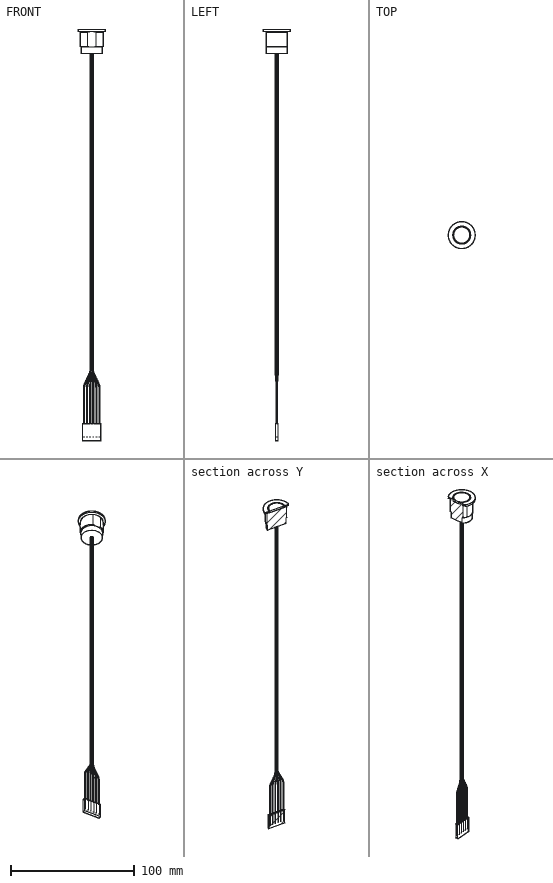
import cadquery as cq
import math

TOTAL_HEIGHT = 334.0

FLANGE_DIAMETER = 22.0
FLANGE_THICKNESS = 1.7
BARREL_DIAMETER = 17.5
HOUSING_HEIGHT = 19.7
HOUSING_BOTTOM = TOTAL_HEIGHT - HOUSING_HEIGHT

COLLAR_DIAMETER = 18.7
COLLAR_LENGTH = 12.7
COLLAR_TAPER = 0.7
COLLAR_TOP = TOTAL_HEIGHT - FLANGE_THICKNESS
COLLAR_BOTTOM = COLLAR_TOP - COLLAR_LENGTH
FLAT_SPACING = BARREL_DIAMETER

BUTTON_DIAMETER = 13.0
RING_DIAMETER = 14.7
BUTTON_DEPTH = FLANGE_THICKNESS
BUTTON_BOTTOM = TOTAL_HEIGHT - BUTTON_DEPTH

CONNECTOR_WIDTH = 15.0
CONNECTOR_DEPTH = 2.5
CONNECTOR_HEIGHT = 14.0

WIRE_DIAMETER = 1.0
WIRE_COUNT = 6
WIRE_PITCH = 2.55
BUNDLE_RADIUS = 0.97
FAN_TOP = 56.5
FAN_BOTTOM = 44.5
BEND_LENGTH = 2.0
INSERTION_DEPTH = 11.0


def cylinder(diameter, bottom, top):
    """Upright cylinder on the Z axis between two heights."""
    return cq.Workplane("XY").workplane(offset=bottom).circle(diameter / 2).extrude(top - bottom)


def make_collar():
    """Collar with tapered ends and a flat on its -Y and +Y sides."""
    inner = BARREL_DIAMETER / 2
    outer = COLLAR_DIAMETER / 2
    collar = (
        cq.Workplane("XZ")
        .moveTo(0, COLLAR_TOP)
        .lineTo(inner, COLLAR_TOP)
        .lineTo(outer, COLLAR_TOP - COLLAR_TAPER)
        .lineTo(outer, COLLAR_BOTTOM + COLLAR_TAPER)
        .lineTo(inner, COLLAR_BOTTOM)
        .lineTo(0, COLLAR_BOTTOM)
        .close()
        .revolve(360, (0, 0, 0), (0, 1, 0))
    )
    between_flats = (
        cq.Workplane("XY", origin=(0, 0, COLLAR_BOTTOM))
        .rect(COLLAR_DIAMETER, FLAT_SPACING)
        .extrude(COLLAR_LENGTH)
    )
    return collar.intersect(between_flats)


def make_housing():
    """Flanged barrel with a collar and a shallow round recess in its top face."""
    flange = cylinder(FLANGE_DIAMETER, COLLAR_TOP, TOTAL_HEIGHT)
    barrel = cylinder(BARREL_DIAMETER, HOUSING_BOTTOM, TOTAL_HEIGHT)
    recess = cylinder(RING_DIAMETER, BUTTON_BOTTOM, TOTAL_HEIGHT)
    return barrel.union(flange).union(make_collar()).cut(recess)


def make_button():
    """Round button in the middle of the recess."""
    return cylinder(BUTTON_DIAMETER, BUTTON_BOTTOM, TOTAL_HEIGHT)


def make_ring():
    """Ring that fills the recess around the button."""
    return cylinder(RING_DIAMETER, BUTTON_BOTTOM, TOTAL_HEIGHT).cut(make_button())


def bundle_position(index):
    """Place of a wire in the round bundle, counted from -X to +X in front and back pairs."""
    pair, is_back = divmod(index, 2)
    step = 2 * math.pi / WIRE_COUNT
    front_angle = math.pi + step / 2 + step * pair
    angle = -front_angle if is_back else front_angle
    return BUNDLE_RADIUS * math.cos(angle), BUNDLE_RADIUS * math.sin(angle)


def rounded_path(points):
    """Path of straight runs through the points, with an arc tangent to both runs at each inner point."""
    corners = [cq.Vector(*point) for point in points]
    edges = []
    run_start = corners[0]
    for before, corner, after in zip(corners, corners[1:], corners[2:]):
        incoming = (corner - before).normalized()
        outgoing = (after - corner).normalized()
        arc_start = corner - incoming * BEND_LENGTH
        arc_end = corner + outgoing * BEND_LENGTH
        edges.append(cq.Edge.makeLine(run_start, arc_start))
        edges.append(cq.Edge.makeTangentArc(arc_start, incoming, arc_end))
        run_start = arc_end
    edges.append(cq.Edge.makeLine(run_start, corners[-1]))
    return cq.Wire.assembleEdges(edges)


def make_wire(index):
    """Wire that runs down the bundle, fans out to its own place in a row and enters the connector."""
    bundle_x, bundle_y = bundle_position(index)
    row_x = (index - (WIRE_COUNT - 1) / 2) * WIRE_PITCH
    path = rounded_path([
        (bundle_x, bundle_y, HOUSING_BOTTOM),
        (bundle_x, bundle_y, FAN_TOP),
        (row_x, 0, FAN_BOTTOM),
        (row_x, 0, CONNECTOR_HEIGHT - INSERTION_DEPTH),
    ])
    start = cq.Workplane("XY", origin=(bundle_x, bundle_y, HOUSING_BOTTOM))
    return start.circle(WIRE_DIAMETER / 2).sweep(path)


def make_wires():
    """The six wires as one body, joined along the bundle."""
    wires = make_wire(0)
    for index in range(1, WIRE_COUNT):
        wires = wires.union(make_wire(index))
    return wires


def make_connector(wires):
    """Block with a blind hole for each wire."""
    block = cq.Workplane("XY").box(
        CONNECTOR_WIDTH, CONNECTOR_DEPTH, CONNECTOR_HEIGHT, centered=(True, True, False)
    )
    return block.cut(wires)


housing = make_housing()
button = make_button()
ring = make_ring()
wires = make_wires()
connector = make_connector(wires)

result = cq.Compound.makeCompound([
    housing.val(),
    ring.val(),
    button.val(),
    wires.val(),
    connector.val(),
])